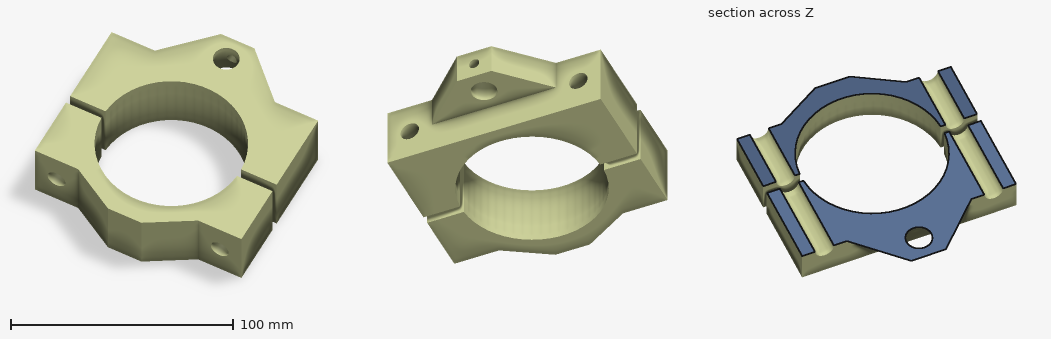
import cadquery as cq

width = 105.0
height = 30.0
split_gap = 4.0
bore_diameter = 69.0

lug_half_depth = 40.0
cap_depth = 30.0

tip_width = 17.0
taper_width = 22.0
lug_length = taper_width
cap_nose_length = 13.0
lug_thickness = height / 2

lug_hole_diameter = 12.0
lug_hole_from_tip = lug_length / 2
lock_hole_diameter = 5.0
bolt_hole_diameter = 9.0
bolt_spacing = 83.0

lug_block_front = split_gap / 2
lug_block_back = lug_block_front + lug_half_depth
lug_tip = lug_block_back + lug_length
lug_hole_y = lug_tip - lug_hole_from_tip
cap_block_back = -split_gap / 2
cap_block_front = cap_block_back - cap_depth
cap_tip = cap_block_front - cap_nose_length


def block(y_start, y_end):
    """Full-height rectangular block between two Y positions."""
    return cq.Workplane("XY", origin=(0, y_start, 0)).box(
        width, y_end - y_start, height, centered=(True, False, False)
    )


def tapered_projection(base_y, tip_y, bottom_z):
    """Trapezoid narrowing from base_y to tip_y, reaching up to the top face."""
    tip_x = tip_width / 2
    base_x = tip_x + taper_width
    outline = [(-base_x, base_y), (-tip_x, tip_y), (tip_x, tip_y), (base_x, base_y)]
    return cq.Workplane("XY").workplane(offset=bottom_z).polyline(outline).close().extrude(height - bottom_z)


def bore():
    """Vertical bore shared by both halves."""
    return cq.Workplane("XY").circle(bore_diameter / 2).extrude(height)


def bolt_holes():
    """Two holes along Y at mid-height, long enough to cross both halves."""
    return (
        cq.Workplane("XZ", origin=(0, lug_tip, height / 2))
        .pushPoints([(-bolt_spacing / 2, 0), (bolt_spacing / 2, 0)])
        .circle(bolt_hole_diameter / 2)
        .extrude(lug_tip - cap_tip)
    )


def lug_hole():
    """Vertical hole through the mounting lug."""
    return cq.Workplane("XY").center(0, lug_hole_y).circle(lug_hole_diameter / 2).extrude(height)


def lock_hole():
    """Cross hole along Y, from the lug tip into the vertical lug hole."""
    return (
        cq.Workplane("XZ", origin=(0, lug_tip, height - lug_thickness / 2))
        .circle(lock_hole_diameter / 2)
        .extrude(lug_hole_from_tip)
    )


def make_lug_half():
    """Clamp half with the half-height mounting lug."""
    lug = tapered_projection(lug_block_back, lug_tip, height - lug_thickness)
    body = block(lug_block_front, lug_block_back).union(lug)
    return body.cut(bore()).cut(bolt_holes()).cut(lug_hole()).cut(lock_hole())


def make_cap():
    """Clamp half with the full-height tapered nose."""
    nose = tapered_projection(cap_block_front, cap_tip, 0)
    body = block(cap_block_front, cap_block_back).union(nose)
    return body.cut(bore()).cut(bolt_holes())


lug_half = make_lug_half()
cap = make_cap()

result = cq.Compound.makeCompound([lug_half.solids().val(), cap.solids().val()])